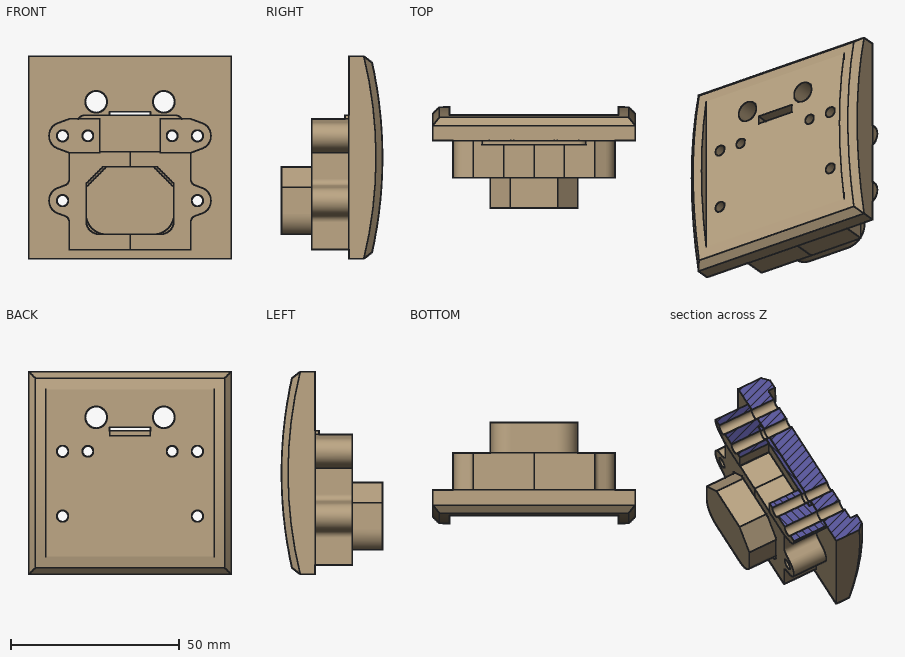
import cadquery as cq
import math


SIDES = (-1, 1)

cover_size = 60.0
crown_height = 10.0
crown_edge_height = 6.5
rim_chamfer = 2.0
channel_width = 50.0
channel_floor = 7.6
indicator_hole_diameter = 6.35
indicator_hole_x = 10.0
indicator_hole_z = 16.5
slot_width = 12.0
slot_height = 2.5
slot_top_z = 13.5

screw_x = 20.0
upper_screw_z = 6.4
lower_screw_z = -12.8
screw_hole_diameter = 3.3

block_depth = 11.0
lobe_radius = 4.0
block_side_x = 18.0
ear_inner_x = block_side_x / 2
lobe_root_height = 10.0
root_fillet = 2.0
shell_height = 29.0

flange_width = 31.3
flange_height = 12.25
flange_thickness = 1.15
flange_corner_radius = 2.4
flange_screw_x = 12.5
flange_hole_diameter = 3.1
ear_inner_hole_diameter = 3.3

plug_width = 26.05
plug_height = 20.0
plug_exposed_length = 9.0
plug_chamfer = 6.0
plug_corner_radius = 6.0
opening_chamfer = 5.0
opening_corner_radius = 4.0


def back_plane():
    """Sketch plane on Y = 0: local x is X, local y is Z, and extrusion runs toward -Y."""
    return cq.Workplane("XZ")


def mirrored_points(x, z):
    """The point (x, z) and its mirror image across X = 0."""
    return [(side * x, z) for side in SIDES]


def drill(body, diameter, points):
    """Drill holes along Y through the full thickness of a body."""
    reach = block_depth + crown_height
    drills = back_plane().pushPoints(points).circle(diameter / 2).extrude(reach, both=True)
    return body.cut(drills)


def make_cover():
    """Square plate with an arched, chamfered outer face and a flat channel running along Z."""
    half = cover_size / 2
    cover = (
        cq.Workplane("YZ", origin=(-half, 0, 0))
        .moveTo(0, -half)
        .lineTo(crown_edge_height, -half)
        .threePointArc((crown_height, 0), (crown_edge_height, half))
        .lineTo(0, half)
        .close()
        .extrude(cover_size)
    )
    cover = cover.faces(">Y").edges().chamfer(rim_chamfer)

    channel_depth = crown_height - channel_floor
    channel = cq.Workplane("XY").box(channel_width, channel_depth, cover_size)
    cover = cover.cut(channel.translate((0, channel_floor + channel_depth / 2, 0)))

    slot = cq.Workplane("XY").box(slot_width, 2 * crown_height, slot_height)
    cover = cover.cut(slot.translate((0, 0, slot_top_z - slot_height / 2)))

    cover = drill(cover, indicator_hole_diameter, mirrored_points(indicator_hole_x, indicator_hole_z))
    for screw_z in (upper_screw_z, lower_screw_z):
        cover = drill(cover, screw_hole_diameter, mirrored_points(screw_x, screw_z))
    return drill(cover, flange_hole_diameter, mirrored_points(flange_screw_x, upper_screw_z))


def make_flange_blank():
    """Flange without its holes; it also shapes the recess in the blocks that lie over it."""
    return (
        back_plane()
        .center(0, upper_screw_z)
        .rect(flange_width, flange_height)
        .extrude(flange_thickness)
        .edges("|Y")
        .fillet(flange_corner_radius)
    )


def make_flange():
    return drill(make_flange_blank(), flange_hole_diameter, mirrored_points(flange_screw_x, upper_screw_z))


def make_lobe(side, screw_z, inner_x):
    """Block around a screw: a round end joined by tangent flanks to a straight part ending at inner_x."""
    root_x = block_side_x - screw_x
    root_z = lobe_root_height / 2
    root_direction = math.atan2(root_z, root_x)
    tangent_angle = root_direction - math.acos(lobe_radius / math.hypot(root_x, root_z))
    tangent_x = lobe_radius * math.cos(tangent_angle)
    tangent_z = lobe_radius * math.sin(tangent_angle)
    straight_end = inner_x - screw_x
    return (
        back_plane()
        .center(side * screw_x, screw_z)
        .moveTo(side * straight_end, -root_z)
        .lineTo(side * root_x, -root_z)
        .lineTo(side * tangent_x, -tangent_z)
        .threePointArc((side * lobe_radius, 0), (side * tangent_x, tangent_z))
        .lineTo(side * root_x, root_z)
        .lineTo(side * straight_end, root_z)
        .close()
        .extrude(block_depth)
    )


def make_ear(side):
    """Upper block that clamps one end of the flange against the cover."""
    ear = make_lobe(side, upper_screw_z, ear_inner_x)
    ear = ear.cut(make_flange_blank())
    ear = drill(ear, screw_hole_diameter, [(side * screw_x, upper_screw_z)])
    return drill(ear, ear_inner_hole_diameter, [(side * flange_screw_x, upper_screw_z)])


def make_plug_prism(length, chamfer, corner_radius):
    """Prism with two chamfered upper corners and two rounded lower corners."""
    return (
        back_plane()
        .center(0, lower_screw_z)
        .rect(plug_width, plug_height)
        .extrude(length)
        .edges("|Y and >Z")
        .chamfer(chamfer)
        .edges("|Y and <Z")
        .fillet(corner_radius)
    )


def make_half_shell(side):
    """One half of the plug housing, split at X = 0 and seated against the ear above it."""
    shell = (
        back_plane()
        .center(side * block_side_x / 2, lower_screw_z)
        .rect(block_side_x, shell_height)
        .extrude(block_depth)
        .union(make_lobe(side, lower_screw_z, ear_inner_x))
    )
    root_box = cq.selectors.BoxSelector(
        (side * ear_inner_x, -block_depth, lower_screw_z - lobe_root_height),
        (side * screw_x, 0, lower_screw_z + lobe_root_height),
    )
    shell = shell.edges("|Y").edges(root_box).fillet(root_fillet)

    shell = shell.cut(make_plug_prism(block_depth, opening_chamfer, opening_corner_radius))
    shell = shell.cut(make_flange_blank())
    shell = shell.cut(make_lobe(side, upper_screw_z, ear_inner_x))
    return drill(shell, screw_hole_diameter, [(side * screw_x, lower_screw_z)])


cover = make_cover()
flange = make_flange()
ears = [make_ear(side) for side in SIDES]
half_shells = [make_half_shell(side) for side in SIDES]
plug = make_plug_prism(block_depth + plug_exposed_length, plug_chamfer, plug_corner_radius)

result = cq.Compound.makeCompound(
    [
        cover.val(),
        flange.val(),
        *[ear.val() for ear in ears],
        *[shell.val() for shell in half_shells],
        plug.val(),
    ]
)